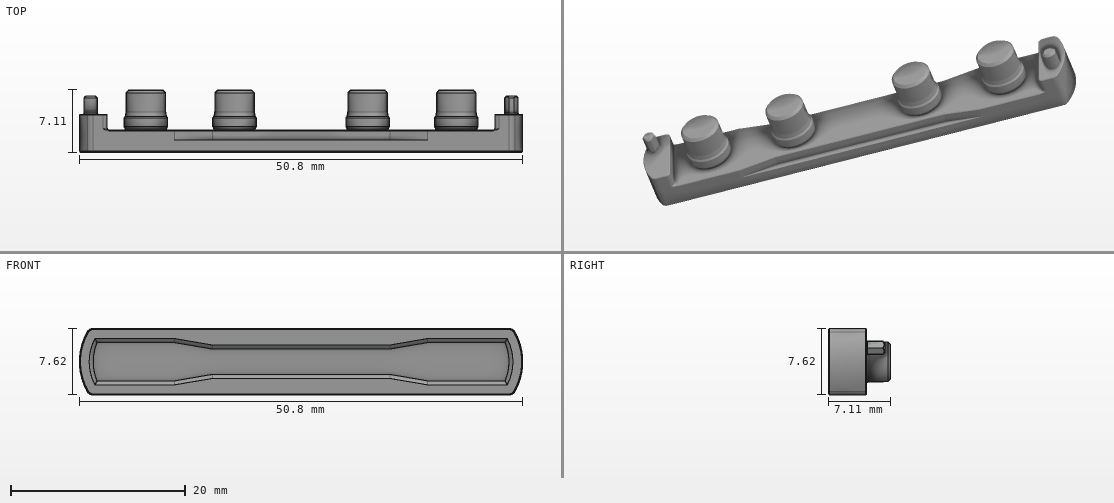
import cadquery as cq

LENGTH = 50.8
HEIGHT = 7.62
TOTAL_DEPTH = 7.11
HALF_LENGTH = LENGTH / 2
HALF_HEIGHT = HEIGHT / 2

PLATE_DEPTH = 2.54
END_BLOCK_DEPTH = 4.34
END_BULGE = 1.15
CORNER_RADIUS = 0.75
FRONT_CHAMFER = 0.13
BACK_CHAMFER = 0.08

END_BLOCK_INNER_X = 22.2
END_BLOCK_INNER_RADIUS = 0.5
END_BLOCK_FOOT_RADIUS = 0.2

WAIST_OUTER_X = 14.48
WAIST_INNER_X = 10.16
WAIST_STEP = 0.74

POCKET_INSET = 1.13
POCKET_HALF_HEIGHT = 2.65
POCKET_CORNER_X = 23.6
POCKET_WALL_WIDTH = 0.46
POCKET_CORNER_DRIFT = 0.5
POCKET_DEPTH = 0.5

RELIEF_LENGTH_Y = 1.14

PLUG_INNER_X = 7.62
PLUG_OUTER_X = 17.78
PLUG_CENTERS_X = (-PLUG_OUTER_X, -PLUG_INNER_X, PLUG_INNER_X, PLUG_OUTER_X)
PLUG_BARREL_RADIUS = 2.27
PLUG_NECK_RADIUS = 2.36
PLUG_RIM_RADIUS = 2.5
PLUG_ROOT_RADIUS = 2.3
PLUG_ROOT_HEIGHT = 0.42
PLUG_RIM_TOP = 1.38
PLUG_NECK_START = 1.58
PLUG_BARREL_START = 2.1
PLUG_TIP_CHAMFER = 0.3

PIN_X = 24.1
PIN_Z = 1.58
PIN_RADIUS = 0.77
PIN_END_Y = 6.45
PIN_CHAMFER = 0.22
PIN_FOOT_RADIUS = 0.13
DIAMOND_HALF_HEIGHT = 1.12


def extrude_back(profile, y_start, y_end):
    """Extrude a front-plane profile from y_start back to y_end."""
    return profile.extrude(-(y_end - y_start)).translate((0, y_start, 0))


def make_gap():
    """Cut-out between the end blocks, flared to round their inner corners and filleted at its floor."""
    flare_x = END_BLOCK_INNER_X + END_BLOCK_INNER_RADIUS
    flare_z = HALF_HEIGHT - END_BLOCK_INNER_RADIUS
    radius = END_BLOCK_INNER_RADIUS
    outside_z = HEIGHT
    profile = (
        cq.Workplane("XZ")
        .moveTo(-flare_x, outside_z)
        .lineTo(flare_x, outside_z)
        .lineTo(flare_x, HALF_HEIGHT)
        .radiusArc((END_BLOCK_INNER_X, flare_z), -radius)
        .lineTo(END_BLOCK_INNER_X, -flare_z)
        .radiusArc((flare_x, -HALF_HEIGHT), -radius)
        .lineTo(flare_x, -outside_z)
        .lineTo(-flare_x, -outside_z)
        .lineTo(-flare_x, -HALF_HEIGHT)
        .radiusArc((-END_BLOCK_INNER_X, -flare_z), -radius)
        .lineTo(-END_BLOCK_INNER_X, flare_z)
        .radiusArc((-flare_x, HALF_HEIGHT), -radius)
        .close()
    )
    gap = extrude_back(profile, PLATE_DEPTH, TOTAL_DEPTH)
    return gap.faces("<Y").edges().fillet(END_BLOCK_FOOT_RADIUS)


def make_bar_blank(depth):
    """Bar with bowed ends and rounded corners, chamfered around its front face."""
    corner_x = HALF_LENGTH - END_BULGE
    profile = (
        cq.Workplane("XZ")
        .moveTo(-corner_x, HALF_HEIGHT)
        .lineTo(corner_x, HALF_HEIGHT)
        .threePointArc((HALF_LENGTH, 0), (corner_x, -HALF_HEIGHT))
        .lineTo(-corner_x, -HALF_HEIGHT)
        .threePointArc((-HALF_LENGTH, 0), (-corner_x, HALF_HEIGHT))
        .close()
    )
    body = extrude_back(profile, 0, depth)
    body = body.edges("|Y").fillet(CORNER_RADIUS)
    return body.faces("<Y").edges().chamfer(FRONT_CHAMFER)


def make_plate():
    """Thin plate with its long edges relieved between the plugs."""
    plate = make_bar_blank(PLATE_DEPTH)
    for side in (-1, 1):
        plate = plate.cut(make_relief(side))
    return plate.faces(">Y").edges().chamfer(BACK_CHAMFER)


def make_end_blocks():
    """Two thick blocks, one at each end of the bar, with feet that blend into the plate."""
    foot_end_x = END_BLOCK_INNER_X - END_BLOCK_FOOT_RADIUS
    middle = cq.Workplane("XY").box(2 * foot_end_x, 4 * END_BLOCK_DEPTH, 2 * HEIGHT)
    blocks = make_bar_blank(END_BLOCK_DEPTH).cut(make_gap())
    blocks = blocks.faces(">Y").edges().chamfer(BACK_CHAMFER)
    return blocks.cut(middle)


def pocket_profile(inset):
    """Waisted pocket outline with bowed ends, moved inward by inset."""
    end_x = HALF_LENGTH - POCKET_INSET - inset
    corner_x = POCKET_CORNER_X - POCKET_CORNER_DRIFT * inset
    high = POCKET_HALF_HEIGHT - inset
    low = high - WAIST_STEP
    return (
        cq.Workplane("XZ")
        .moveTo(-corner_x, high)
        .lineTo(-WAIST_OUTER_X, high)
        .lineTo(-WAIST_INNER_X, low)
        .lineTo(WAIST_INNER_X, low)
        .lineTo(WAIST_OUTER_X, high)
        .lineTo(corner_x, high)
        .threePointArc((end_x, 0), (corner_x, -high))
        .lineTo(WAIST_OUTER_X, -high)
        .lineTo(WAIST_INNER_X, -low)
        .lineTo(-WAIST_INNER_X, -low)
        .lineTo(-WAIST_OUTER_X, -high)
        .lineTo(-corner_x, -high)
        .threePointArc((-end_x, 0), (-corner_x, high))
        .close()
    )


def make_pocket():
    """Pocket with walls sloping from the front face in to its floor."""
    outer = pocket_profile(0).wires().val()
    inner = pocket_profile(POCKET_WALL_WIDTH).wires().val()
    inner = inner.translate(cq.Vector(0, POCKET_DEPTH, 0))
    return cq.Workplane(cq.Solid.makeLoft([outer, inner], True))


def make_relief(side):
    """Waisted step in the top (side 1) or bottom (side -1) edge at the back of the plate."""
    edge = side * HALF_HEIGHT
    floor = side * (HALF_HEIGHT - WAIST_STEP)
    profile = (
        cq.Workplane("XZ")
        .moveTo(-WAIST_OUTER_X, edge)
        .lineTo(-WAIST_INNER_X, floor)
        .lineTo(WAIST_INNER_X, floor)
        .lineTo(WAIST_OUTER_X, edge)
        .close()
    )
    return extrude_back(profile, PLATE_DEPTH - RELIEF_LENGTH_Y, PLATE_DEPTH)


def make_plug(center_x):
    """Turned plug: tapered root, wide rim, tapered neck and chamfered barrel."""
    height = TOTAL_DEPTH - PLATE_DEPTH
    return (
        cq.Workplane("XY")
        .lineTo(PLUG_ROOT_RADIUS, 0)
        .lineTo(PLUG_RIM_RADIUS, PLUG_ROOT_HEIGHT)
        .lineTo(PLUG_RIM_RADIUS, PLUG_RIM_TOP)
        .lineTo(PLUG_NECK_RADIUS, PLUG_NECK_START)
        .lineTo(PLUG_BARREL_RADIUS, PLUG_BARREL_START)
        .lineTo(PLUG_BARREL_RADIUS, height - PLUG_TIP_CHAMFER)
        .lineTo(PLUG_BARREL_RADIUS - PLUG_TIP_CHAMFER, height)
        .lineTo(0, height)
        .close()
        .revolve(360, (0, 0, 0), (0, 1, 0))
        .translate((center_x, PLATE_DEPTH, 0))
    )


def make_pin(side):
    """Round locating pin with a chamfered tip and a filleted foot."""
    foot_radius = PIN_RADIUS + PIN_FOOT_RADIUS
    foot_y = END_BLOCK_DEPTH + PIN_FOOT_RADIUS
    pin = (
        cq.Workplane("XY")
        .moveTo(0, PLATE_DEPTH)
        .lineTo(foot_radius, PLATE_DEPTH)
        .lineTo(foot_radius, END_BLOCK_DEPTH)
        .radiusArc((PIN_RADIUS, foot_y), PIN_FOOT_RADIUS)
        .lineTo(PIN_RADIUS, PIN_END_Y - PIN_CHAMFER)
        .lineTo(PIN_RADIUS - PIN_CHAMFER, PIN_END_Y)
        .lineTo(0, PIN_END_Y)
        .close()
        .revolve(360, (0, 0, 0), (0, 1, 0))
    )
    return pin.translate((side * PIN_X, 0, side * PIN_Z))


def make_diamond_pin(side):
    """Locating pin relieved by four flats that meet in a ridge at each side."""
    flats = (
        cq.Workplane("XZ")
        .rect(4 * PIN_RADIUS, 4 * PIN_RADIUS)
        .moveTo(PIN_RADIUS, 0)
        .lineTo(0, DIAMOND_HALF_HEIGHT)
        .lineTo(-PIN_RADIUS, 0)
        .lineTo(0, -DIAMOND_HALF_HEIGHT)
        .close()
    )
    flats = extrude_back(flats, END_BLOCK_DEPTH + PIN_FOOT_RADIUS, TOTAL_DEPTH)
    return make_pin(side).cut(flats.translate((side * PIN_X, 0, side * PIN_Z)))


result = make_plate().union(make_end_blocks())
result = result.cut(make_pocket())
result = result.union(make_pin(-1))
result = result.union(make_diamond_pin(1))
for plug_x in PLUG_CENTERS_X:
    result = result.union(make_plug(plug_x))